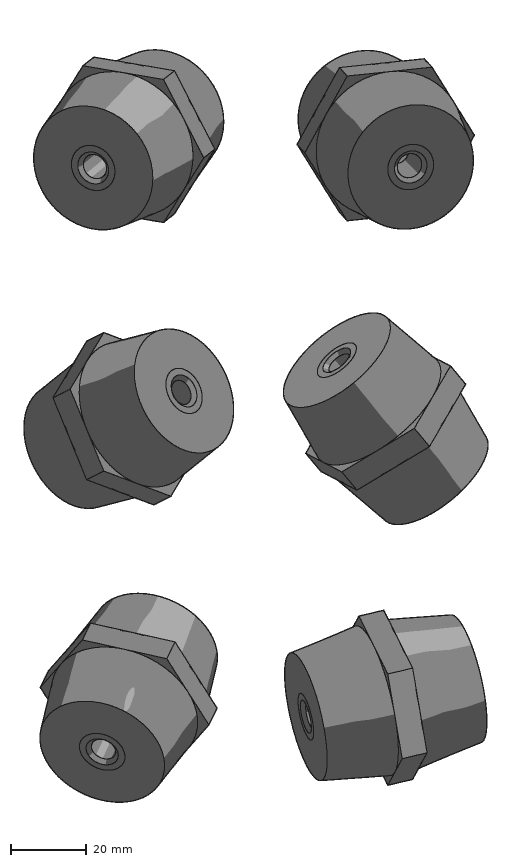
import cadquery as cq
import math

LENGTH = 45.0
HEX_ACROSS_CORNERS = 47.35
HEX_THICKNESS = 7.0
END_DIAMETER = 35.05
HEX_ACROSS_FLATS = HEX_ACROSS_CORNERS * math.cos(math.radians(30))
BASE_DIAMETER = HEX_ACROSS_FLATS

INSERT_DIAMETER = 12.8
INSERT_LENGTH = 18.0
HOLE_DIAMETER = 6.8
HOLE_DEPTH = 12.8
DRILL_POINT_ANGLE = 118.0
COUNTERSINK_DIAMETER = 9.05
COUNTERSINK_DEPTH = (COUNTERSINK_DIAMETER - HOLE_DIAMETER) / 2

HALF_LENGTH = LENGTH / 2
AXIS_START = (0, 0, 0)
AXIS_END = (0, 1, 0)


def revolve_about_y(points):
    """Revolve a closed (radius, y) outline once around the Y axis."""
    return cq.Workplane("XY").polyline(points).close().revolve(360, AXIS_START, AXIS_END)


def make_hexagon():
    """Hexagonal wrench collar at mid length."""
    return (
        cq.Workplane("XZ")
        .polygon(6, HEX_ACROSS_CORNERS)
        .extrude(HEX_THICKNESS / 2, both=True)
    )


def make_tapered_body():
    """Round body that narrows from the collar to both end faces."""
    end_radius = END_DIAMETER / 2
    base_radius = BASE_DIAMETER / 2
    half_hex = HEX_THICKNESS / 2
    return revolve_about_y([
        (0, -HALF_LENGTH),
        (end_radius, -HALF_LENGTH),
        (base_radius, -half_hex),
        (base_radius, half_hex),
        (end_radius, HALF_LENGTH),
        (0, HALF_LENGTH),
    ])


def make_insert_blank():
    """Plain cylinder at the -Y end that an insert fills."""
    radius = INSERT_DIAMETER / 2
    inner_end = -HALF_LENGTH + INSERT_LENGTH
    return revolve_about_y([
        (0, -HALF_LENGTH),
        (radius, -HALF_LENGTH),
        (radius, inner_end),
        (0, inner_end),
    ])


def make_insert_hole():
    """Countersunk blind hole with a conical drill point, opening at the -Y end."""
    hole_radius = HOLE_DIAMETER / 2
    point_length = hole_radius / math.tan(math.radians(DRILL_POINT_ANGLE / 2))
    hole_bottom = -HALF_LENGTH + HOLE_DEPTH
    return revolve_about_y([
        (0, -HALF_LENGTH),
        (COUNTERSINK_DIAMETER / 2, -HALF_LENGTH),
        (hole_radius, -HALF_LENGTH + COUNTERSINK_DEPTH),
        (hole_radius, hole_bottom),
        (0, hole_bottom + point_length),
    ])


def place_at_end(shape, turn):
    """Turn a shape made at the -Y end about Z to the wanted end."""
    return shape.rotate((0, 0, 0), (0, 0, 1), turn)


END_TURNS = (0, 180)

housing = make_tapered_body().union(make_hexagon())
for turn in END_TURNS:
    housing = housing.cut(place_at_end(make_insert_blank(), turn))

inserts = []
for turn in END_TURNS:
    insert = make_insert_blank().cut(make_insert_hole())
    inserts.append(place_at_end(insert, turn).val())

result = cq.Compound.makeCompound([housing.val(), *inserts])